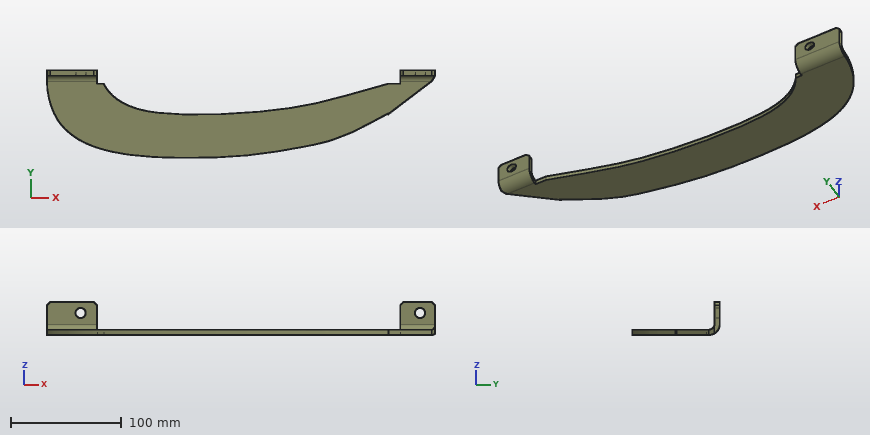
import cadquery as cq
import math

length = 351.34
depth = 79.47
height = 30.0

thickness = 5.0
inner_bend_radius = 5.0
outer_bend_radius = inner_bend_radius + thickness

left_tab_width = 45.5
right_tab_width = 31.7
tab_chamfer = 3.0
hole_diameter = 9.0
hole_height = 20.0
left_hole_x = 30.6
hole_spacing = 307.0
right_tab_x = length - right_tab_width

step_y = -12.2
inner_curve_start_x = 51.5
inner_curve_end_x = 309.0
bend_y = -outer_bend_radius
tip_inset = 3.0
tip_x = length - tip_inset

outer_curve = [
    (2.0, -26.0),
    (10.6, -46.3),
    (29.6, -63.3),
    (55.0, -73.0),
    (86.8, -78.0),
    (124.9, -depth),
    (182.0, -77.2),
    (232.8, -69.4),
    (277.3, -55.8),
    (309.0, -39.3),
]

left_tangent = (0, -1)
tip_tangent = (4, 3)

inner_curve = [
    (277.0, -21.2),
    (239.0, -30.9),
    (182.0, -38.4),
    (137.6, -40.2),
    (105.8, -39.0),
    (80.4, -34.5),
    (61.4, -24.6),
]


def make_plate():
    """Flat curved plate, ending at the start of the two bends."""
    return (
        cq.Workplane("XY")
        .moveTo(0, bend_y)
        .spline(outer_curve + [(tip_x, bend_y)], tangents=[left_tangent, tip_tangent], includeCurrent=True)
        .lineTo(right_tab_x, bend_y)
        .lineTo(right_tab_x, step_y)
        .lineTo(inner_curve_end_x, step_y)
        .spline(inner_curve + [(inner_curve_start_x, step_y)], includeCurrent=True)
        .lineTo(left_tab_width, step_y)
        .lineTo(left_tab_width, bend_y)
        .close()
        .extrude(thickness)
    )


def make_tab(left_x, width, hole_x):
    """Upright tab with its bend, chamfered top corners and a through hole."""
    outer_mid = outer_bend_radius - outer_bend_radius * math.cos(math.pi / 4)
    inner_mid = outer_bend_radius - inner_bend_radius * math.cos(math.pi / 4)
    tab = (
        cq.Workplane("YZ", origin=(left_x, 0, 0))
        .moveTo(bend_y, 0)
        .threePointArc((-outer_mid, outer_mid), (0, outer_bend_radius))
        .lineTo(0, height)
        .lineTo(-thickness, height)
        .lineTo(-thickness, outer_bend_radius)
        .threePointArc((-inner_mid, inner_mid), (bend_y, thickness))
        .close()
        .extrude(width)
    )
    tab = tab.faces(">Z").edges("|Y").chamfer(tab_chamfer)
    hole = (
        cq.Workplane("XZ")
        .center(hole_x, hole_height)
        .circle(hole_diameter / 2)
        .extrude(thickness)
    )
    return tab.cut(hole)


def make_tip_trim():
    """Wedge that tapers the right bend down to the tip of the plate."""
    return (
        cq.Workplane("XY")
        .moveTo(tip_x, bend_y)
        .lineTo(length, bend_y)
        .lineTo(length, -thickness)
        .close()
        .extrude(height)
    )


left_tab = make_tab(0, left_tab_width, left_hole_x)
right_tab = make_tab(right_tab_x, right_tab_width, left_hole_x + hole_spacing)
right_tab = right_tab.cut(make_tip_trim())

result = make_plate().union(left_tab).union(right_tab)